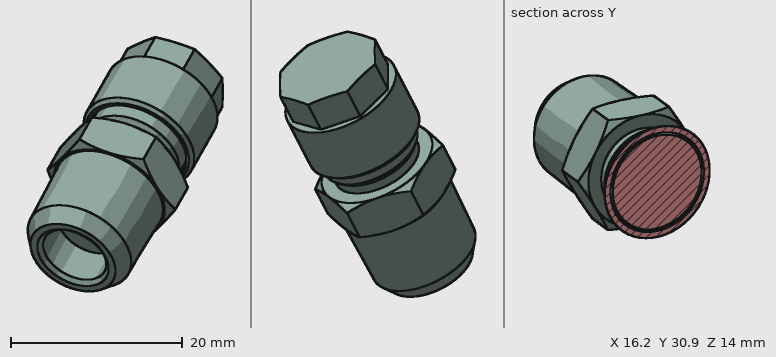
import cadquery as cq
import math

total_length = 30.9
tip_chamfer_end = 1.95
hex_front = 11.0
hex_back = 16.0
neck_back = 17.18
shoulder_front = 17.92
collar_front = 19.4
collar_back = 26.9

tip_radius = 5.38
taper_front_radius = 6.55
taper_back_radius = 6.77
neck_radius = 5.3
shoulder_radius = 5.93
hex_flats = 14.0
collar_radius = hex_flats / 2
collar_chamfer = 0.45
collar_recess_radius = 6.18
collar_recess_depth = 1.0
octagon_flats = 12.0
hex_chamfer_angle = 30
octagon_chamfer_angle = 15
hex_sides = 6
octagon_sides = 8
octagon_turn = 180 / octagon_sides

bore_radius = 4.0
bore_mouth_radius = 4.5
bore_chamfer = bore_mouth_radius - bore_radius
bore_depth = 5.0


def revolve_profile(points):
    """Revolve (radius, y) points about the Y axis."""
    return cq.Workplane("XY").polyline(points).close().revolve(360, (0, 0, 0), (0, 1, 0))


def corner_distance(sides, flats):
    """Distance from the axis to a corner of a regular polygon."""
    return flats / 2 / math.cos(math.pi / sides)


def polygon_prism(sides, flats, start, end, turn):
    """Regular prism along +Y; turn is the angle of its first corner from +X."""
    corner_radius = corner_distance(sides, flats)
    angles = [math.radians(turn + 360 * i / sides) for i in range(sides)]
    corners = [(corner_radius * math.cos(a), corner_radius * math.sin(a)) for a in angles]
    plane = cq.Plane(origin=(0, start, 0), xDir=(1, 0, 0), normal=(0, 1, 0))
    return cq.Workplane(plane).polyline(corners).close().extrude(end - start)


def make_turned_body():
    """Round body, with a narrow annular gap between the shoulder and the collar mouth."""
    return revolve_profile([
        (0, 0),
        (tip_radius, 0),
        (taper_front_radius, tip_chamfer_end),
        (taper_back_radius, hex_front),
        (neck_radius, hex_front),
        (neck_radius, neck_back),
        (shoulder_radius, shoulder_front),
        (shoulder_radius, collar_front + collar_recess_depth),
        (collar_recess_radius, collar_front + collar_recess_depth),
        (collar_recess_radius, collar_front),
        (collar_radius - collar_chamfer, collar_front),
        (collar_radius, collar_front + collar_chamfer),
        (collar_radius, collar_back),
        (0, collar_back),
    ])


def make_hex():
    """Hexagon with corners on the X axis, chamfered on both faces."""
    prism = polygon_prism(hex_sides, hex_flats, hex_front, hex_back, 0)
    flat_radius = hex_flats / 2
    corner_radius = corner_distance(hex_sides, hex_flats)
    drop = (corner_radius - flat_radius) * math.tan(math.radians(hex_chamfer_angle))
    envelope = revolve_profile([
        (0, hex_front),
        (flat_radius, hex_front),
        (corner_radius, hex_front + drop),
        (corner_radius, hex_back - drop),
        (flat_radius, hex_back),
        (0, hex_back),
    ])
    return prism.intersect(envelope)


def make_octagon():
    """Octagon with flats facing X and Z, chamfered at its free end."""
    prism = polygon_prism(octagon_sides, octagon_flats, collar_back, total_length, octagon_turn)
    flat_radius = octagon_flats / 2
    corner_radius = corner_distance(octagon_sides, octagon_flats)
    drop = (corner_radius - flat_radius) * math.tan(math.radians(octagon_chamfer_angle))
    envelope = revolve_profile([
        (0, collar_back),
        (corner_radius, collar_back),
        (corner_radius, total_length - drop),
        (flat_radius, total_length),
        (0, total_length),
    ])
    return prism.intersect(envelope)


def make_bore():
    return revolve_profile([
        (0, 0),
        (bore_mouth_radius, 0),
        (bore_radius, bore_chamfer),
        (bore_radius, bore_depth),
        (0, bore_depth),
    ])


result = make_turned_body().union(make_hex()).union(make_octagon()).cut(make_bore())